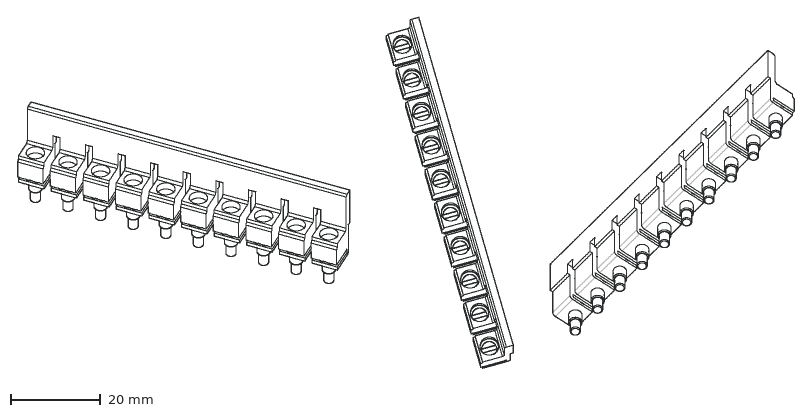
import cadquery as cq

length = 77.3
depth = 7.6
height = 24.0
tooth_count = 10
tooth_width = 6.2
pitch = (length - tooth_width) / (tooth_count - 1)
gap_width = pitch - tooth_width
gap_top = 17.7

bar_thickness = 2.1
bar_bottom = 14.4
bar_chamfer = 0.5
bar_face = depth - bar_thickness

strip_thickness = 0.9
strip_inset = 0.7
strip_back = depth - strip_inset
strip_front = 0.5
strip_bottom = 6.0
strip_floor = strip_bottom + strip_thickness
strip_inner = strip_back - strip_thickness
bend_outer_radius = 0.8
bend_inner_radius = 0.2

block_bottom = 7.9
block_top = 13.75
heel_depth = 0.5
step_depth = 0.5
step_top = 12.8
step_bottom = 12.3

screw_y = 2.85
well_diameter = 4.1
well_lip = 12.0
cavity_diameter = 4.8
cavity_floor = 9.5
head_diameter = 3.4
head_height = 0.8
head_top = cavity_floor + head_height
slot_width = 0.9
slot_depth = 0.6
collar_diameter = 4.7
rim_diameter = cavity_diameter
rim_height = 0.2
shank_diameter = 3.0
shank_bottom = 3.1
shank_chamfer = 0.2
pin_diameter = 2.3
pin_chamfer = 0.2


def extrude_tooth_profile(points):
    """Extrude a closed YZ outline across the width of the first tooth."""
    return cq.Workplane("YZ").polyline(points).close().extrude(tooth_width)


def cylinder(diameter, bottom, top):
    """Upright cylinder on the screw axis of the first tooth."""
    base = cq.Workplane("XY", origin=(tooth_width / 2, screw_y, bottom))
    return base.circle(diameter / 2).extrude(top - bottom)


def make_bar():
    bar = cq.Workplane("XY").box(length, bar_thickness, height - bar_bottom, centered=False)
    bar = bar.translate((0, bar_face, bar_bottom))
    bar = bar.edges("<Y and >Z").chamfer(bar_chamfer)
    for index in range(tooth_count - 1):
        gap = cq.Workplane("XY").box(gap_width, depth, gap_top, centered=False)
        bar = bar.cut(gap.translate((index * pitch + tooth_width, 0, 0)))
    return bar


def make_strip():
    profile = [
        (strip_back, bar_bottom),
        (strip_back, strip_bottom),
        (strip_front, strip_bottom),
        (strip_front, strip_floor),
        (strip_inner, strip_floor),
        (strip_inner, bar_bottom),
    ]
    strip = extrude_tooth_profile(profile)
    strip = strip.edges("|X and >Y and <Z").fillet(bend_outer_radius)
    inner_corner = cq.selectors.NearestToPointSelector((tooth_width / 2, strip_inner, strip_floor))
    return strip.edges(inner_corner).fillet(bend_inner_radius)


def make_block():
    """Block with a sloped heel, a stepped front and an undercut screw well."""
    profile = [
        (strip_inner, block_bottom),
        (0, block_bottom),
        (0, step_bottom),
        (step_depth, step_top),
        (step_depth, block_top),
        (bar_face - heel_depth, block_top),
        (bar_face, bar_bottom),
        (strip_inner, bar_bottom),
    ]
    block = extrude_tooth_profile(profile)
    block = block.cut(cylinder(well_diameter, well_lip, block_top))
    return block.cut(cylinder(cavity_diameter, cavity_floor, well_lip))


def make_screw_head():
    """Slotted head standing on the cavity floor, with the slot along Y."""
    slot = cq.Workplane("XY").box(slot_width, depth, slot_depth, centered=False)
    slot = slot.translate(((tooth_width - slot_width) / 2, 0, head_top - slot_depth))
    return cylinder(head_diameter, cavity_floor, head_top).cut(slot)


def make_pin():
    collar = cylinder(collar_diameter, strip_floor, block_bottom)
    rim = cylinder(rim_diameter, block_bottom - rim_height, block_bottom)
    shank = cylinder(shank_diameter, shank_bottom, strip_bottom)
    shank = shank.faces("<Z").chamfer(shank_chamfer)
    pin = cylinder(pin_diameter, 0, shank_bottom)
    pin = pin.faces("<Z").chamfer(pin_chamfer)
    return collar.union(rim).union(shank).union(pin)


def make_terminal():
    return make_strip().union(make_block()).union(make_screw_head()).union(make_pin())


terminal = make_terminal()
result = make_bar()
for index in range(tooth_count):
    result = result.union(terminal.translate((index * pitch, 0, 0)))